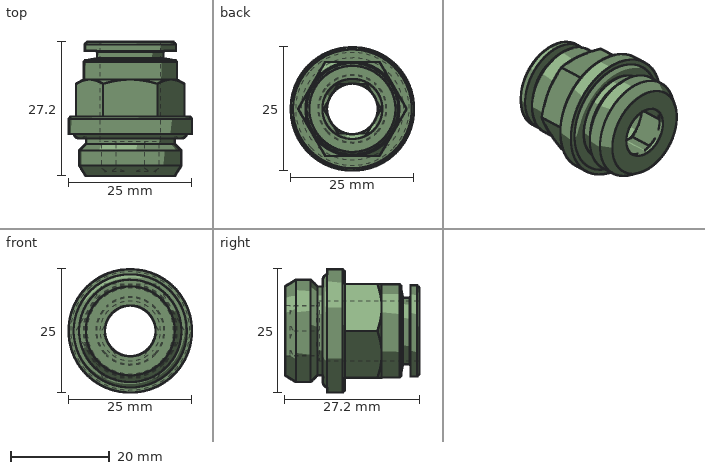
import cadquery as cq
import math


lead_chamfer_end = 2.2
thread_end = 5.2
flange_start = 8.5
flange_end = 12.1
hex_end = 19.52
body_end = 23.52
collar_start = 25.35
overall_length = 27.2

thread_dia = 20.7
relief_dia = 18.0
flange_dia = 25.0
body_dia = 18.9
neck_dia = 13.5
collar_dia = 18.5

flange_chamfer = 0.5
body_chamfer = 0.4
collar_chamfer = 0.55
neck_flare = 0.2
cap_dia = 16.8
cap_height = 0.33

seal_section_radius = 1.25
seal_projection = 0.9

hex_flats = 19.0
hex_chamfer_angle = 30.0

bore_dia = 10.2
tube_bore_dia = 12.15
socket_flats = 10.0
socket_start = 1.0
tube_cone_start = 6.4
tube_cone_angle = 30.0


def revolve_profile(points):
    """Revolve a closed (radius, y) outline about the Y axis."""
    return cq.Workplane("XY").polyline(points).close().revolve(360, (0, 0, 0), (0, 1, 0))


def corner_dia(flats):
    """Across-corners size of a hexagon with the given across-flats size."""
    return flats / math.cos(math.radians(30))


def hex_prism(flats, start, end):
    """Hexagonal prism along Y with two corners on the X axis."""
    plane = cq.Workplane("XZ", origin=(0, start, 0))
    return plane.polygon(6, corner_dia(flats)).extrude(start - end)


def turned_body():
    """Outside of the fitting without the wrench hexagon and the seal."""
    thread_r = thread_dia / 2
    relief_r = relief_dia / 2
    flange_r = flange_dia / 2
    body_r = body_dia / 2
    neck_r = neck_dia / 2
    collar_r = collar_dia / 2
    relief_start = thread_end + thread_r - relief_r
    return revolve_profile([
        (0, 0),
        (relief_r, 0),
        (thread_r, lead_chamfer_end),
        (thread_r, thread_end),
        (relief_r, relief_start),
        (relief_r, flange_start),
        (flange_r, flange_start),
        (flange_r, flange_end - flange_chamfer),
        (flange_r - flange_chamfer, flange_end),
        (body_r, flange_end),
        (body_r, body_end - body_chamfer),
        (body_r - body_chamfer, body_end),
        (cap_dia / 2, body_end),
        (neck_r, body_end + cap_height),
        (neck_r, collar_start - neck_flare),
        (neck_r + neck_flare, collar_start),
        (collar_r, collar_start),
        (collar_r, overall_length - collar_chamfer),
        (collar_r - collar_chamfer, overall_length),
        (0, overall_length),
    ])


def seal_ring():
    """Sealing ring whose exposed part stands out of the flange face."""
    centre_radius = relief_dia / 2 + seal_section_radius
    centre_y = flange_start - seal_projection + seal_section_radius
    section = cq.Workplane("XY").center(centre_radius, centre_y).circle(seal_section_radius)
    return section.revolve(360, (-centre_radius, 0, 0), (-centre_radius, 1, 0))


def wrench_hex():
    """Hexagon with its corners bevelled at the body end."""
    flat_r = hex_flats / 2
    corner_r = corner_dia(hex_flats) / 2
    bevel = (corner_r - flat_r) * math.tan(math.radians(hex_chamfer_angle))
    envelope = revolve_profile([
        (0, flange_end),
        (corner_r, flange_end),
        (corner_r, hex_end - bevel),
        (flat_r, hex_end),
        (0, hex_end),
    ])
    return hex_prism(hex_flats, flange_end, hex_end).intersect(envelope)


def tube_passage():
    """Bore from the spigot face, widening through a cone to the tube bore."""
    bore_r = bore_dia / 2
    tube_r = tube_bore_dia / 2
    cone_length = (tube_r - bore_r) * math.tan(math.radians(tube_cone_angle))
    return revolve_profile([
        (0, 0),
        (bore_r, 0),
        (bore_r, tube_cone_start),
        (tube_r, tube_cone_start + cone_length),
        (tube_r, overall_length),
        (0, overall_length),
    ])


def key_socket():
    """Hexagon corners broached into the bore, run out on a 45 degree cone."""
    bore_r = bore_dia / 2
    corner_r = corner_dia(socket_flats) / 2
    socket_end = tube_cone_start + (corner_r - bore_r) * math.tan(math.radians(tube_cone_angle))
    envelope = revolve_profile([
        (0, socket_start),
        (bore_r, socket_start),
        (corner_r, socket_start + corner_r - bore_r),
        (corner_r, socket_end),
        (0, socket_end),
    ])
    return hex_prism(socket_flats, socket_start, socket_end).intersect(envelope)


outside = turned_body().union(wrench_hex()).union(seal_ring())
result = outside.cut(tube_passage()).cut(key_socket())